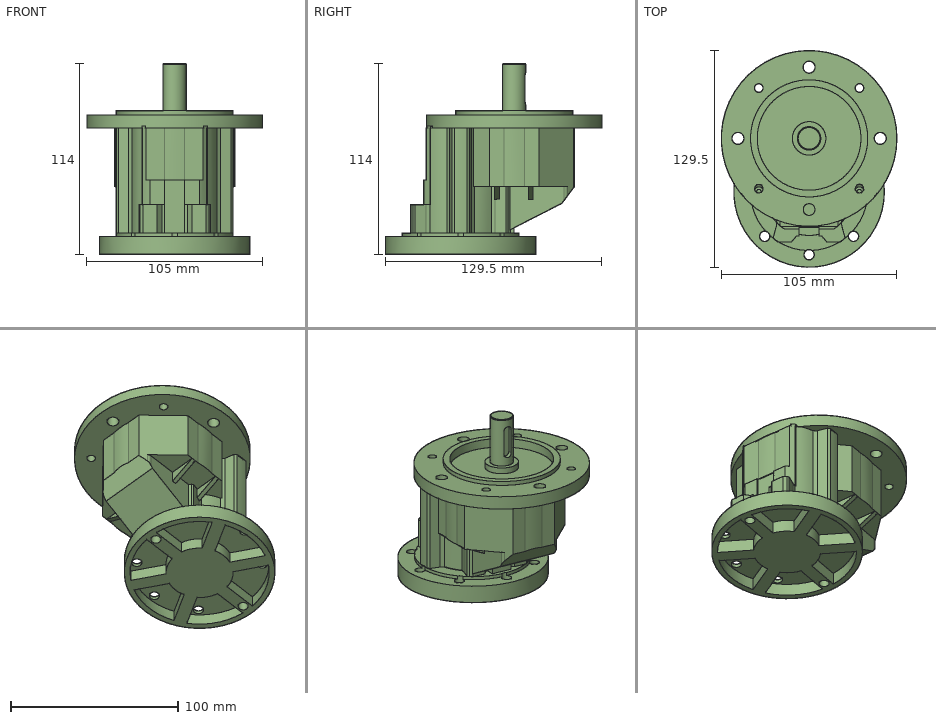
import cadquery as cq
import math

BASE_Y = -32.0

BASE_TOP = 10.7
HOUSING_BOTTOM = 12.7
LUG_TOP = 29.7
FRONT_STEP = 44.5
MOTOR_BOTTOM = 40.4
HOUSING_TOP = 75.3
FLANGE_TOP = 83.3
PILOT_TOP = 85.8
FLANGE_FLOOR = 80.3
SHOULDER_TOP = 84.0
SHAFT_TOP = 114.0

BASE_DIA = 90.0
BASE_BOLT_CIRCLE = 75.0
BASE_HOLE_COUNT = 8
BASE_HOLE_DIA = 6.0
BASE_WEB = 2.5
BASE_HUB_RADIUS = 20.0
BASE_RIM_RADIUS = 41.5
BASE_SPOKES = 6
BASE_SPOKE_WIDTH = 8.0
FLANGE_DIA = 105.0
FLANGE_BOLT_CIRCLE = 85.0
FLANGE_HOLE_COUNT = 4
FLANGE_HOLE_DIA = 7.0
FLANGE_SMALL_HOLE_DIA = 5.0
PILOT_DIA = 70.0
RECESS_DIA = 62.0

SHAFT_DIA = 14.0
SHOULDER_DIA = 20.0
SHAFT_CHAMFER = 0.5
KEY_WIDTH = 5.0
KEY_DEPTH = 3.0
KEY_END_GAP = 5.0

BARREL_RADIUS = 26.6
SPIGOT_RADIUS = 26.0
SPIGOT_DEPTH = HOUSING_BOTTOM - BASE_TOP
RIB_RADIUS = PILOT_DIA / 2
RIB_TIP_HALF = 3.7
RIB_CORNER = (33.6, 5.2)
RIB_ROOT = (27.4, 6.6)
RIB_FOOT_HALF = 8.2
REAR_RIB_HALF = 6.6
REAR_RIB_Y = 0.0

UPPER_FLAT = 52.5
LOWER_FLAT = 54.1
STRIP_FLAT = 53.3
STRIP_HALF = 6.0
LIP_HEIGHT = 1.3
LIP_INNER_X = 17.4
LIP_OUTER_X = 19.5
GROOVE_X = 19.4
GROOVE_RADIUS = 0.3

LUG_OUTLINE = [
    (STRIP_HALF, -50.0),
    (STRIP_HALF, -58.4),
    (7.6, -58.4),
    (10.5, -61.8),
    (18.8, -61.8),
    (20.6, -60.4),
    (21.4, -59.2),
    (19.6, -52.6),
    (19.3, -50.2),
]

OCTAGON_SIDES = 8
OCTAGON_FLAT = 35.5
OCTAGON_ROUND_RADIUS = math.hypot(OCTAGON_FLAT, STRIP_HALF)
WEDGE_HALF_WIDTH = 19.2
WEDGE_KNEE = (28.5, 30.4)
WEDGE_END_Y = -5.0
WEDGE_SLOPE = 0.51
WEDGE_CORNER_RADIUS = 3.0

GUSSET_WIDTH = 2.8
GUSSET_HEIGHT = 7.8
GUSSET_YS = (9.8, -10.3)

SCREW_X = 30.0
SCREW_HEAD_RADIUS = 3.0
SCREW_HEAD_HEIGHT = 3.0
SCREW_HEAD_SINK = 1.0
SCREW_HEAD_TOP = HOUSING_TOP - SCREW_HEAD_SINK
SCREW_HEAD_BOTTOM = SCREW_HEAD_TOP - SCREW_HEAD_HEIGHT
SCREW_POCKET_RADIUS = 4.7
SCREW_RADIUS = 1.5
SCREW_LENGTH = 12.0
SOCKET_CORNER_DIA = 3.2
SOCKET_DEPTH = 1.5


def disc(radius, bottom, top, y=0.0, x=0.0):
    return cq.Workplane("XY", origin=(x, y, bottom)).circle(radius).extrude(top - bottom)


def block(x_range, y_range, z_range):
    size = [b - a for a, b in (x_range, y_range, z_range)]
    return cq.Workplane("XY", origin=(x_range[0], y_range[0], z_range[0])).box(*size, centered=False)


def bolt_holes(count, circle_dia, hole_dia, start_angle, y, height):
    return (
        cq.Workplane("XY", origin=(0, y, 0))
        .polarArray(circle_dia / 2, start_angle, 360, count)
        .circle(hole_dia / 2)
        .extrude(height)
    )


def base_pockets():
    """Ring of pockets in the underside of the base, parted by radial spokes."""
    top = BASE_TOP - BASE_WEB
    ring = disc(BASE_RIM_RADIUS, 0, top, BASE_Y).cut(disc(BASE_HUB_RADIUS, 0, top, BASE_Y))
    spokes = (
        cq.Workplane("XY", origin=(0, BASE_Y, 0))
        .polarArray(BASE_RIM_RADIUS / 2, 90, 360, BASE_SPOKES)
        .rect(BASE_RIM_RADIUS, BASE_SPOKE_WIDTH)
        .extrude(top)
    )
    return ring.cut(spokes)


def base_flange():
    body = disc(BASE_DIA / 2, 0, BASE_TOP, BASE_Y)
    body = body.union(disc(PILOT_DIA / 2, BASE_TOP, HOUSING_BOTTOM, BASE_Y))
    body = body.cut(base_pockets())
    body = body.cut(bolt_holes(BASE_HOLE_COUNT, BASE_BOLT_CIRCLE, BASE_HOLE_DIA, 0, BASE_Y, HOUSING_BOTTOM))
    spigot_bore = disc(SPIGOT_RADIUS, HOUSING_BOTTOM - SPIGOT_DEPTH, HOUSING_BOTTOM, BASE_Y)
    return body.cut(spigot_bore)


def motor_flange():
    body = disc(FLANGE_DIA / 2, HOUSING_TOP, FLANGE_TOP)
    body = body.union(disc(PILOT_DIA / 2, FLANGE_TOP, PILOT_TOP))
    body = body.cut(disc(RECESS_DIA / 2, FLANGE_FLOOR, PILOT_TOP))
    body = body.cut(disc(SHOULDER_DIA / 2, HOUSING_TOP, PILOT_TOP))
    for hole_dia, start_angle in ((FLANGE_HOLE_DIA, 0), (FLANGE_SMALL_HOLE_DIA, 45)):
        holes = bolt_holes(FLANGE_HOLE_COUNT, FLANGE_BOLT_CIRCLE, hole_dia, start_angle, 0, PILOT_TOP)
        body = body.cut(holes)
    return body


def shaft():
    body = disc(SHOULDER_DIA / 2, HOUSING_TOP, SHOULDER_TOP)
    journal = disc(SHAFT_DIA / 2, SHOULDER_TOP, SHAFT_TOP).faces(">Z").chamfer(SHAFT_CHAMFER)
    key_length = SHAFT_TOP - SHOULDER_TOP - 2 * KEY_END_GAP
    keyway = (
        cq.Workplane("XZ", origin=(0, SHAFT_DIA / 2, (SHAFT_TOP + SHOULDER_TOP) / 2))
        .slot2D(key_length, KEY_WIDTH, 90)
        .extrude(KEY_DEPTH)
    )
    return body.union(journal).cut(keyway)


def side_rib():
    """Tapered rib on the +X side of the barrel, with a rounded tip and flared feet."""
    tip_x = math.sqrt(RIB_RADIUS**2 - RIB_TIP_HALF**2)
    foot_x = math.sqrt(BARREL_RADIUS**2 - RIB_FOOT_HALF**2)
    return (
        cq.Workplane("XY", origin=(0, BASE_Y, HOUSING_BOTTOM))
        .moveTo(0, -RIB_FOOT_HALF)
        .lineTo(foot_x, -RIB_FOOT_HALF)
        .lineTo(RIB_ROOT[0], -RIB_ROOT[1])
        .lineTo(RIB_CORNER[0], -RIB_CORNER[1])
        .lineTo(tip_x, -RIB_TIP_HALF)
        .threePointArc((RIB_RADIUS, 0), (tip_x, RIB_TIP_HALF))
        .lineTo(*RIB_CORNER)
        .lineTo(*RIB_ROOT)
        .lineTo(foot_x, RIB_FOOT_HALF)
        .lineTo(0, RIB_FOOT_HALF)
        .close()
        .extrude(HOUSING_TOP - HOUSING_BOTTOM)
    )


def lug(top):
    """Upright lug on the front +X side of the barrel."""
    outline = cq.Workplane("XY", origin=(0, 0, HOUSING_BOTTOM)).polyline(LUG_OUTLINE).close()
    return outline.extrude(top - HOUSING_BOTTOM)


def mirrored_pair(body):
    return body.union(body.mirror("YZ"))


def front_trim():
    """Material taken off the front of the barrel to leave its flats and centre strip."""
    reach = 2 * BARREL_RADIUS
    sides = (-BARREL_RADIUS, BARREL_RADIUS)
    far_y = BASE_Y - reach
    lower = block(sides, (far_y, -LOWER_FLAT), (HOUSING_BOTTOM, FRONT_STEP))
    strip = block((-STRIP_HALF, STRIP_HALF), (far_y, -STRIP_FLAT), (HOUSING_BOTTOM, FRONT_STEP))
    upper = block(sides, (far_y, -UPPER_FLAT), (FRONT_STEP, HOUSING_TOP))
    return lower.union(strip).union(upper)


def rounded_strip(flat, bottom, top):
    """Slightly bulged strip down the middle of a flat that faces -Y."""
    crown = math.hypot(flat, STRIP_HALF)
    return (
        cq.Workplane("XY", origin=(0, 0, bottom))
        .moveTo(-STRIP_HALF, BASE_Y)
        .lineTo(-STRIP_HALF, -flat)
        .threePointArc((0, -crown), (STRIP_HALF, -flat))
        .lineTo(STRIP_HALF, BASE_Y)
        .close()
        .extrude(top - bottom)
    )


def lip():
    """Thin edges of the barrel that stand up beside the motor flange."""
    top = HOUSING_TOP + LIP_HEIGHT
    barrel = disc(BARREL_RADIUS, HOUSING_TOP, top, BASE_Y)
    window = block((LIP_INNER_X, LIP_OUTER_X), (-UPPER_FLAT, BASE_Y), (HOUSING_TOP, top))
    edge = barrel.intersect(window).cut(disc(FLANGE_DIA / 2, HOUSING_TOP, top))
    return mirrored_pair(edge)


def front_groove():
    """Fine upright groove in the barrel, beside the front flats on the +X side."""
    y = BASE_Y - math.sqrt(BARREL_RADIUS**2 - GROOVE_X**2)
    return disc(GROOVE_RADIUS, LUG_TOP, HOUSING_TOP, y, GROOVE_X)


def octagon(bottom, top):
    across_corners = 2 * OCTAGON_FLAT / math.cos(math.pi / OCTAGON_SIDES)
    height = top - bottom
    body = (
        cq.Workplane("XY", origin=(0, 0, bottom))
        .transformed(rotate=(0, 0, 180 / OCTAGON_SIDES))
        .polygon(OCTAGON_SIDES, across_corners)
        .extrude(height)
    )
    bands = block((-STRIP_HALF, STRIP_HALF), (-FLANGE_DIA, FLANGE_DIA), (bottom, top))
    bands = bands.union(block((-FLANGE_DIA, FLANGE_DIA), (-STRIP_HALF, STRIP_HALF), (bottom, top)))
    return body.union(disc(OCTAGON_ROUND_RADIUS, bottom, top).intersect(bands))


def wedge():
    """Tapered belly that carries the motor end down to the barrel."""
    knee_y, knee_z = WEDGE_KNEE
    end_z = knee_z - WEDGE_SLOPE * (knee_y - WEDGE_END_Y)
    profile = [
        (OCTAGON_ROUND_RADIUS, MOTOR_BOTTOM),
        WEDGE_KNEE,
        (WEDGE_END_Y, end_z),
        (BASE_Y, end_z),
        (BASE_Y, MOTOR_BOTTOM),
    ]
    prism = cq.Workplane("YZ").polyline(profile).close().extrude(WEDGE_HALF_WIDTH, both=True)
    body = prism.intersect(octagon(HOUSING_BOTTOM, MOTOR_BOTTOM))
    corner_y = OCTAGON_FLAT * math.sqrt(2) - WEDGE_HALF_WIDTH
    for x in (-WEDGE_HALF_WIDTH, WEDGE_HALF_WIDTH):
        corner = cq.NearestToPointSelector((x, corner_y, MOTOR_BOTTOM))
        body = body.edges("|Z").edges(corner).fillet(WEDGE_CORNER_RADIUS)
    return body


def gusset(y):
    """Triangular rib under the overhang of the motor end, on the +X side."""
    inner_x = WEDGE_HALF_WIDTH
    points = [
        (0, MOTOR_BOTTOM),
        (OCTAGON_FLAT, MOTOR_BOTTOM),
        (inner_x, MOTOR_BOTTOM - GUSSET_HEIGHT),
        (0, MOTOR_BOTTOM - GUSSET_HEIGHT),
    ]
    plate = cq.Workplane("XZ", origin=(0, y, 0)).polyline(points).close()
    return plate.extrude(GUSSET_WIDTH / 2, both=True)


def screw_pocket(x):
    """Flared seat for a screw head, with the hole for its shank."""
    flare = (
        cq.Workplane("XY", origin=(x, BASE_Y, SCREW_HEAD_TOP))
        .circle(SCREW_HEAD_RADIUS)
        .workplane(offset=SCREW_HEAD_SINK)
        .circle(SCREW_POCKET_RADIUS)
        .loft()
    )
    seat = disc(SCREW_HEAD_RADIUS, SCREW_HEAD_BOTTOM, SCREW_HEAD_TOP, BASE_Y, x)
    hole = disc(SCREW_RADIUS, SCREW_HEAD_BOTTOM - SCREW_LENGTH, SCREW_HEAD_BOTTOM, BASE_Y, x)
    return flare.union(seat).union(hole)


def housing():
    barrel = disc(BARREL_RADIUS, HOUSING_BOTTOM, HOUSING_TOP, BASE_Y).cut(front_trim())
    body = barrel.union(rounded_strip(UPPER_FLAT, FRONT_STEP, HOUSING_TOP))
    body = body.union(mirrored_pair(side_rib()))
    body = body.union(mirrored_pair(lug(LUG_TOP)))

    rear_lug = lug(MOTOR_BOTTOM).mirror("XZ", (0, BASE_Y, 0))
    body = body.union(mirrored_pair(rear_lug))
    rear_rib_x = (-REAR_RIB_HALF, REAR_RIB_HALF)
    body = body.union(block(rear_rib_x, (BASE_Y, REAR_RIB_Y), (HOUSING_BOTTOM, MOTOR_BOTTOM)))

    body = body.union(octagon(MOTOR_BOTTOM, HOUSING_TOP))
    body = body.union(wedge())
    for y in GUSSET_YS:
        body = body.union(mirrored_pair(gusset(y)))

    spigot = disc(SPIGOT_RADIUS, HOUSING_BOTTOM - SPIGOT_DEPTH, HOUSING_BOTTOM, BASE_Y)
    body = body.union(spigot).union(lip()).cut(mirrored_pair(front_groove()))
    for x in (-SCREW_X, SCREW_X):
        body = body.cut(screw_pocket(x))
    return body


def screw(x):
    head = disc(SCREW_HEAD_RADIUS, SCREW_HEAD_BOTTOM, SCREW_HEAD_TOP, BASE_Y, x)
    shank = disc(SCREW_RADIUS, SCREW_HEAD_BOTTOM - SCREW_LENGTH, SCREW_HEAD_BOTTOM, BASE_Y, x)
    socket = (
        cq.Workplane("XY", origin=(x, BASE_Y, SCREW_HEAD_TOP - SOCKET_DEPTH))
        .polygon(6, SOCKET_CORNER_DIA)
        .extrude(SOCKET_DEPTH)
    )
    return head.union(shank).cut(socket)


screws = [screw(x).val() for x in (-SCREW_X, SCREW_X)]
result = cq.Compound.makeCompound(
    [
        base_flange().val(),
        housing().val(),
        motor_flange().val(),
        shaft().val(),
        *screws,
    ]
)